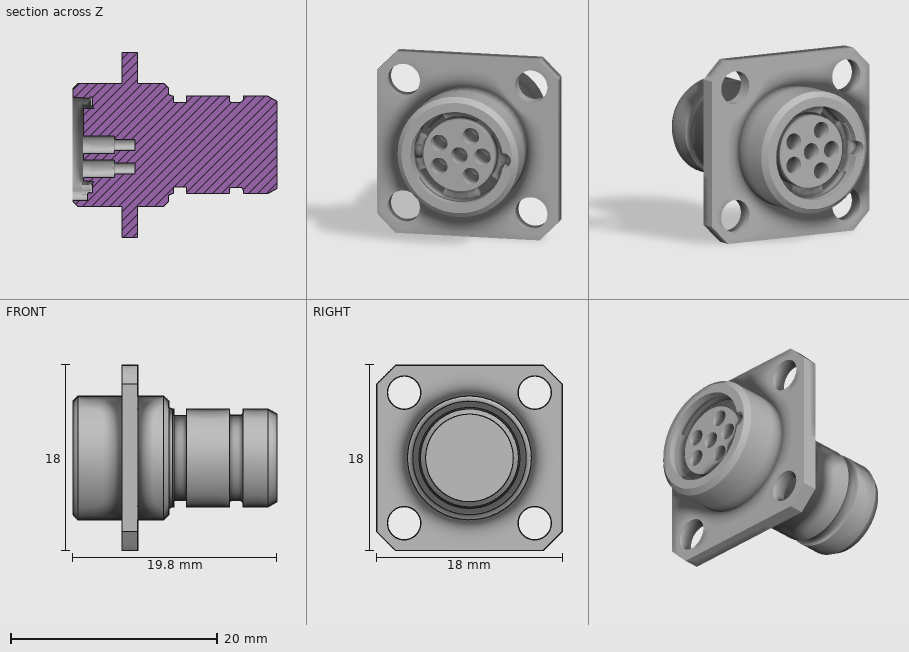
import cadquery as cq
import math

OVERCUT = 0.1

FLANGE_SIZE = 18.0
FLANGE_START = 4.75
FLANGE_END = 6.3
FLANGE_CORNER = 1.85
MOUNT_HOLE_OFFSET = 6.33
MOUNT_HOLE_RADIUS = 1.6

TOTAL_LENGTH = 19.8
SHELL_RADIUS = 6.0
SHELL_END = 9.3
SHELL_CHAMFER = 0.5
COLLAR_BASE_RADIUS = 4.9
COLLAR_CONE_END = 9.65
COLLAR_END = 9.8
BARREL_RADIUS = 4.75
NECK_RADIUS = 4.12
BARREL_START = 11.0
GROOVE_START = 15.2
GROOVE_END = 16.5
GROOVE_RADIUS = 4.15
GROOVE_FRONT_FILLET = 0.18
GROOVE_REAR_FILLET = 0.28
TAPER_START = 18.9
TAPER_END_RADIUS = 4.25

LIP_RADIUS = 4.6
LIP_DEPTH = 0.9
BORE_RADIUS = 4.55
BORE_DEPTH = 1.8
INSERT_RADIUS = 3.55
INSERT_FACE = 1.0
MOAT_RADIUS = 3.78
MOAT_DEPTH = 0.25

RACE_ANGLES = (31.0, 149.0)
RACE_ROUND = 0.42
RECESS_DEPTH = 1.0
LEDGE_RADIUS = 4.13
LEDGE_DEPTH = 0.1
WINDOW_INNER_RADIUS = 3.88
WINDOW_RAMP_RADIUS = 4.18
WINDOW_OUTER_RADIUS = 4.5
WINDOW_STEP = 0.2
WINDOW_DEPTH = 0.6
WIDE_RECESS_ANGLES = (24.0, 66.0)
WIDE_LEDGE_ANGLES = (27.3, 62.7)
WIDE_WINDOW_ANGLES = (30.6, 59.4)
NARROW_RECESS_ANGLES = (115.0, 146.5)
NARROW_WINDOW_ANGLES = (123.0, 139.0)

KEY_WIDTH = 1.5
KEY_INNER_RADIUS = 3.83
KEY_OUTER_RADIUS = 4.62
KEY_DEPTH = 0.1
KEY_CORNER = 0.2

CONTACT_CIRCLE_RADIUS = 2.3
CONTACT_ANGLES = (-120.0, -30.0, 30.0, 120.0, 180.0)
CAVITY_RADIUS = 0.83
CAVITY_DEPTH = 3.0
CONTACT_RADIUS = 0.62
CONTACT_BORE_RADIUS = 0.5
CONTACT_DEPTH = 2.0


def revolve_profile(profile, start=0.0, end=360.0):
    """Revolve an (X, radius) profile about X between two angles."""
    sector = profile.close().revolve(end - start, (0, 0, 0), (1, 0, 0))
    return sector.rotate((0, 0, 0), (1, 0, 0), start)


def ring_profile(x_start, x_end, inner, outer):
    corners = [(x_start, inner), (x_end, inner), (x_end, outer), (x_start, outer)]
    return cq.Workplane("XY").polyline(corners)


def ring(x_start, x_end, inner, outer):
    return revolve_profile(ring_profile(x_start, x_end, inner, outer))


def rod(x_start, x_end, radius, y=0.0, z=0.0):
    return cq.Workplane("YZ", origin=(x_start, y, z)).circle(radius).extrude(x_end - x_start)


def make_body():
    arc_mid = 1 - math.sqrt(0.5)
    front_fillet_mid = GROOVE_FRONT_FILLET * arc_mid
    rear_fillet_mid = GROOVE_REAR_FILLET * arc_mid
    profile = (
        cq.Workplane("XY")
        .moveTo(0, 0)
        .lineTo(0, SHELL_RADIUS - SHELL_CHAMFER)
        .lineTo(SHELL_CHAMFER, SHELL_RADIUS)
        .lineTo(SHELL_END - SHELL_CHAMFER, SHELL_RADIUS)
        .lineTo(SHELL_END, SHELL_RADIUS - SHELL_CHAMFER)
        .lineTo(SHELL_END, COLLAR_BASE_RADIUS)
        .lineTo(COLLAR_CONE_END, BARREL_RADIUS)
        .lineTo(COLLAR_END, BARREL_RADIUS)
        .lineTo(COLLAR_END, NECK_RADIUS)
        .lineTo(BARREL_START, NECK_RADIUS)
        .lineTo(BARREL_START, BARREL_RADIUS)
        .lineTo(GROOVE_START, BARREL_RADIUS)
        .lineTo(GROOVE_START, GROOVE_RADIUS + GROOVE_FRONT_FILLET)
        .threePointArc(
            (GROOVE_START + front_fillet_mid, GROOVE_RADIUS + front_fillet_mid),
            (GROOVE_START + GROOVE_FRONT_FILLET, GROOVE_RADIUS),
        )
        .lineTo(GROOVE_END - GROOVE_REAR_FILLET, GROOVE_RADIUS)
        .threePointArc(
            (GROOVE_END - rear_fillet_mid, GROOVE_RADIUS + rear_fillet_mid),
            (GROOVE_END, GROOVE_RADIUS + GROOVE_REAR_FILLET),
        )
        .lineTo(GROOVE_END, BARREL_RADIUS)
        .lineTo(TAPER_START, BARREL_RADIUS)
        .lineTo(TOTAL_LENGTH, TAPER_END_RADIUS)
        .lineTo(TOTAL_LENGTH, 0)
    )
    return revolve_profile(profile)


def make_flange():
    plate = (
        cq.Workplane("YZ", origin=(FLANGE_START, 0, 0))
        .rect(FLANGE_SIZE, FLANGE_SIZE)
        .extrude(FLANGE_END - FLANGE_START)
        .edges("|X")
        .chamfer(FLANGE_CORNER)
    )
    spacing = 2 * MOUNT_HOLE_OFFSET
    return (
        plate.faces("<X").workplane(centerOption="CenterOfBoundBox")
        .rect(spacing, spacing, forConstruction=True)
        .vertices()
        .hole(2 * MOUNT_HOLE_RADIUS)
    )


def cut_socket(body):
    """Open the socket, leaving the round insert standing at its centre."""
    body = body.cut(rod(-OVERCUT, INSERT_FACE, BORE_RADIUS))
    body = body.cut(ring(-OVERCUT, LIP_DEPTH, INSERT_RADIUS, LIP_RADIUS))
    body = body.cut(ring(INSERT_FACE - OVERCUT, BORE_DEPTH, INSERT_RADIUS, BORE_RADIUS))
    moat = cq.Workplane("XY").polyline([
        (BORE_DEPTH - OVERCUT, INSERT_RADIUS),
        (BORE_DEPTH + MOAT_DEPTH, INSERT_RADIUS),
        (BORE_DEPTH, MOAT_RADIUS),
        (BORE_DEPTH - OVERCUT, MOAT_RADIUS),
    ])
    return body.cut(revolve_profile(moat))


def cut_mirrored(body, profile, angles):
    """Cut a revolved sector above the XY plane and its mirror image below."""
    start, end = angles
    cutter = revolve_profile(profile, start, end)
    return body.cut(cutter).cut(cutter.mirror("XY"))


def race_profile():
    """Undercut behind the lip whose rear corner rolls over into the bore."""
    root_radius = BORE_RADIUS + RACE_ROUND
    diagonal = RACE_ROUND * math.sqrt(0.5)
    return (
        cq.Workplane("XY")
        .moveTo(LIP_DEPTH, BORE_RADIUS - OVERCUT)
        .lineTo(LIP_DEPTH, root_radius)
        .lineTo(BORE_DEPTH - RACE_ROUND, root_radius)
        .threePointArc((BORE_DEPTH - diagonal, root_radius - diagonal), (BORE_DEPTH, BORE_RADIUS))
        .lineTo(BORE_DEPTH, BORE_RADIUS - OVERCUT)
    )


def cut_races(body):
    return cut_mirrored(body, race_profile(), RACE_ANGLES)


def cut_recess(body, recess_angles, ledge_angles, window_angles):
    """Sector recess around the insert with a stepped floor and a ramped window."""
    floor = BORE_DEPTH + RECESS_DEPTH
    recess = ring_profile(BORE_DEPTH - OVERCUT, floor, INSERT_RADIUS, BORE_RADIUS)
    ledge = ring_profile(floor - OVERCUT, floor + LEDGE_DEPTH, INSERT_RADIUS, LEDGE_RADIUS)
    window = cq.Workplane("XY").polyline([
        (floor - OVERCUT, WINDOW_INNER_RADIUS),
        (floor + WINDOW_DEPTH, WINDOW_INNER_RADIUS),
        (floor + WINDOW_STEP, WINDOW_RAMP_RADIUS),
        (floor + WINDOW_STEP, WINDOW_OUTER_RADIUS),
        (floor - OVERCUT, WINDOW_OUTER_RADIUS),
    ])
    body = cut_mirrored(body, recess, recess_angles)
    body = cut_mirrored(body, ledge, ledge_angles)
    return cut_mirrored(body, window, window_angles)


def key_pocket(angle, depth):
    """Rounded rectangular pocket in the floor around the insert."""
    length = KEY_OUTER_RADIUS - KEY_INNER_RADIUS
    pocket = (
        cq.Workplane("YZ", origin=(BORE_DEPTH - OVERCUT, KEY_INNER_RADIUS + length / 2, 0))
        .rect(length, KEY_WIDTH)
        .extrude(depth + OVERCUT)
        .edges("|X")
        .fillet(KEY_CORNER)
    )
    return pocket.rotate((0, 0, 0), (1, 0, 0), angle)


def cut_keys(body):
    for angle in (90, 180, 270):
        body = body.cut(key_pocket(angle, KEY_DEPTH))

    crown_radius = KEY_WIDTH / 2
    crown = (
        cq.Workplane("XZ", origin=(BORE_DEPTH + KEY_DEPTH + crown_radius, KEY_OUTER_RADIUS, 0))
        .circle(crown_radius)
        .extrude(KEY_OUTER_RADIUS - KEY_INNER_RADIUS)
    )
    body = body.cut(key_pocket(0, KEY_DEPTH + crown_radius).cut(crown))

    return body


def cut_keyway(body):
    """Half-round keyway along the -Y bore wall, ending in a short length of race."""
    keyway = rod(-OVERCUT, BORE_DEPTH - RACE_ROUND, KEY_WIDTH / 2, y=-LIP_RADIUS)
    half_angle = math.degrees(math.asin(KEY_WIDTH / 2 / (BORE_RADIUS + RACE_ROUND)))
    body = body.cut(keyway)
    return body.cut(revolve_profile(race_profile(), 180 - half_angle, 180 + half_angle))


def cut_contact(body, y, z):
    """Blind cavity with a countersunk contact bore in its floor."""
    floor = INSERT_FACE + CAVITY_DEPTH
    sink_depth = CONTACT_RADIUS - CONTACT_BORE_RADIUS
    body = body.cut(rod(INSERT_FACE - OVERCUT, floor, CAVITY_RADIUS, y, z))
    bore = revolve_profile(cq.Workplane("XY").polyline([
        (floor - OVERCUT, 0),
        (floor - OVERCUT, CONTACT_RADIUS),
        (floor, CONTACT_RADIUS),
        (floor + sink_depth, CONTACT_BORE_RADIUS),
        (floor + CONTACT_DEPTH, CONTACT_BORE_RADIUS),
        (floor + CONTACT_DEPTH, 0),
    ]))
    return body.cut(bore.translate((0, y, z)))


result = make_body().union(make_flange())
result = cut_socket(result)
result = cut_races(result)
result = cut_recess(result, WIDE_RECESS_ANGLES, WIDE_LEDGE_ANGLES, WIDE_WINDOW_ANGLES)
result = cut_recess(result, NARROW_RECESS_ANGLES, NARROW_RECESS_ANGLES, NARROW_WINDOW_ANGLES)
result = cut_keys(result)
result = cut_keyway(result)
result = cut_contact(result, 0, 0)
for contact_angle in CONTACT_ANGLES:
    theta = math.radians(contact_angle)
    contact_y = CONTACT_CIRCLE_RADIUS * math.cos(theta)
    contact_z = CONTACT_CIRCLE_RADIUS * math.sin(theta)
    result = cut_contact(result, contact_y, contact_z)